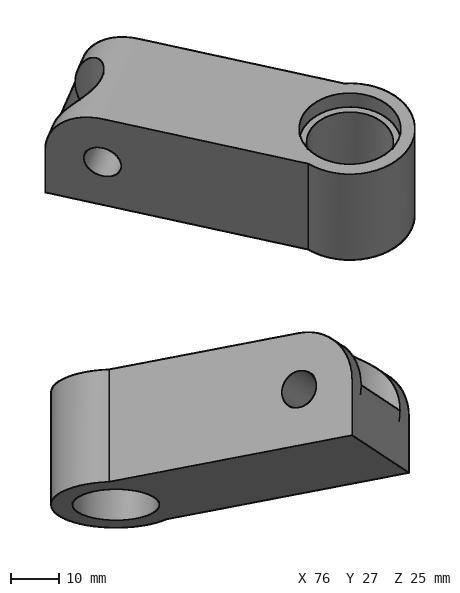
import cadquery as cq

total_length = 76.0
height = 25.0
arm_width = 25.0
barrel_diameter = 27.05
bore_diameter = 18.1
counterbore_diameter = 21.1
counterbore_depth = 4.0
cross_hole_diameter = 8.1
pocket_radius = 8.5

barrel_x = total_length - barrel_diameter / 2
end_radius = height / 2
pivot_x = end_radius
pivot_z = height / 2


def cylinder_along_y(diameter, length):
    """Cylinder on the pivot axis, centred across the arm."""
    return (
        cq.Workplane("XZ")
        .center(pivot_x, pivot_z)
        .circle(diameter / 2)
        .extrude(length / 2, both=True)
    )


def make_arm():
    """Straight arm with its upper -X edge rounded about the pivot axis."""
    block = cq.Workplane("XY").box(barrel_x, arm_width, height, centered=(False, True, False))
    return block.edges("<X and >Z").fillet(end_radius)


def make_barrel():
    return cq.Workplane("XY").center(barrel_x, 0).circle(barrel_diameter / 2).extrude(height)


def make_stepped_bore():
    """Through bore with a counterbore sunk from the top face."""
    bore = cq.Workplane("XY").center(barrel_x, 0).circle(bore_diameter / 2).extrude(height)
    counterbore = (
        cq.Workplane("XY", origin=(barrel_x, 0, height - counterbore_depth))
        .circle(counterbore_diameter / 2)
        .extrude(counterbore_depth)
    )
    return bore.union(counterbore)


def make_end_pocket():
    """Vertical round pocket whose concave floor follows the end radius about the pivot axis."""
    column = cq.Workplane("XY").circle(pocket_radius).extrude(height)
    floor_shape = cylinder_along_y(2 * end_radius, arm_width)
    open_top = cq.Workplane("XY", origin=(0, 0, pivot_z)).rect(
        2 * pocket_radius, 2 * pocket_radius
    ).extrude(height - pivot_z)
    return column.intersect(floor_shape.union(open_top))


body = make_arm().union(make_barrel())
result = (
    body.cut(make_stepped_bore())
    .cut(make_end_pocket())
    .cut(cylinder_along_y(cross_hole_diameter, arm_width))
)